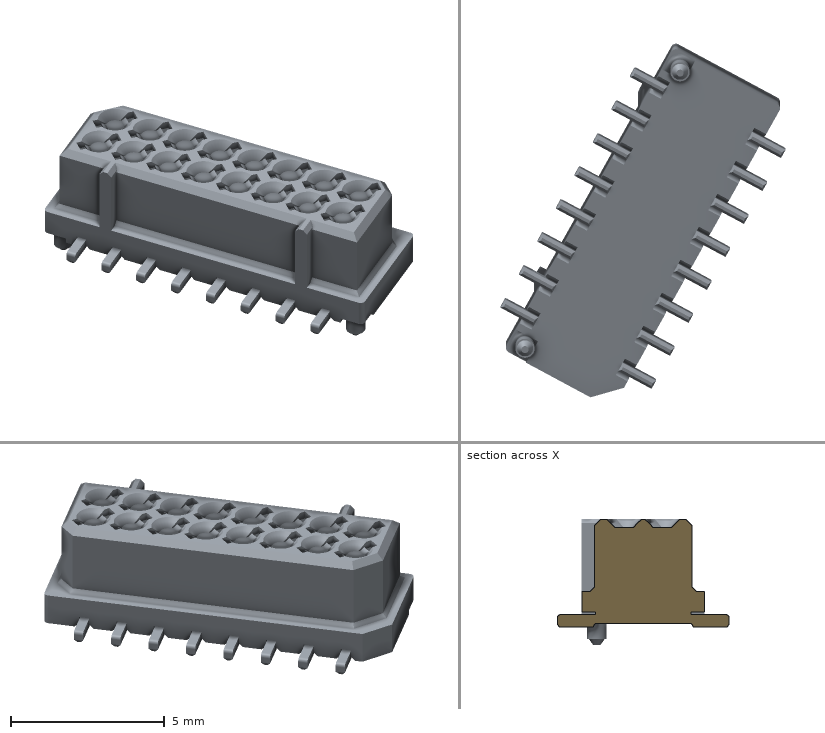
import cadquery as cq
import math

base_length = 11.45
base_width = 4.0
base_height = 1.05
key_chamfer = 0.8
base_corner_radius = 0.16

tower_margin = 0.4
tower_corner_cut = 0.48
tower_top = 3.4
tower_length = base_length - 2 * tower_margin
tower_width = base_width - 2 * tower_margin
top_chamfer = 0.21
tower_flare = 0.14

rib_width = 0.42
rib_spacing = 7.01
rib_chamfer = 0.14

contact_count = 8
contact_pitch = 1.25
contact_columns = [(i - (contact_count - 1) / 2) * contact_pitch for i in range(contact_count)]
contact_rows = [-contact_pitch / 2, contact_pitch / 2]

cavity_depth = 0.26
funnel_top_radius = 0.56
funnel_floor_radius = 0.3
slot_length = 1.42
slot_width = 0.39
slot_angle = 45
arm_width = 0.31
arm_inner_radius = 0.26
arm_outer_radius = 0.42
arm_height = 0.11
arm_bulge = 0.01

lead_span = 5.6
lead_width = 0.31
lead_height = 0.31
lead_tip_radius = 0.11
foot_depth = 0.11
foot_side_inset = 0.1
foot_end_inset = 0.07
foot_inner_end = base_width / 2 - 0.44
lead_embed = 0.11

relief_width = 0.34
relief_height = 0.38
relief_mouth_width = 0.62
relief_flare_height = (relief_mouth_width - relief_width) / 2

peg_x = 5.23
peg_y = -1.5
peg_diameter = 0.63
peg_radius = peg_diameter / 2
peg_bottom = -0.7
peg_tip_height = 0.21
peg_tip_base_radius = 0.26
peg_tip_radius = 0.11
recess_height = 0.17
peg_fillet = 0.14

overlap = 0.11


def keyed_outline(plane_z, offset):
    """Tower outline with two cut corners, grown evenly by offset (negative shrinks it)."""
    half_x = tower_length / 2 + offset
    half_y = tower_width / 2 + offset
    cut_growth = offset * (2 - math.sqrt(2))
    key_cut = key_chamfer + cut_growth
    corner_cut = tower_corner_cut + cut_growth
    points = [
        (-half_x, -half_y),
        (half_x, -half_y),
        (half_x, half_y - corner_cut),
        (half_x - corner_cut, half_y),
        (-half_x + key_cut, half_y),
        (-half_x, half_y - key_cut),
    ]
    return cq.Workplane("XY").workplane(offset=plane_z).polyline(points).close()


def keyed_taper(bottom_z, bottom_offset, top_z, top_offset):
    """Solid running between two offsets of the keyed outline."""
    bottom = keyed_outline(bottom_z, bottom_offset).wires().val()
    top = keyed_outline(top_z, top_offset).wires().val()
    return cq.Workplane(cq.Solid.makeLoft([bottom, top], True))


def make_base():
    block = cq.Workplane("XY").box(base_length, base_width, base_height, centered=(True, True, False))
    block = block.edges("|Z and (<X and >Y)").chamfer(key_chamfer)
    rounded = block.edges("(|Z and >X) or (|Z and <Y)")
    return rounded.fillet(base_corner_radius)


def make_tower():
    shoulder_z = tower_top - top_chamfer
    flare_top = base_height + tower_flare
    shaft = keyed_outline(base_height - overlap, 0).extrude(shoulder_z - base_height + overlap)
    flare = keyed_taper(base_height, tower_flare, flare_top, 0)
    cap = keyed_taper(shoulder_z, 0, tower_top, -top_chamfer)
    return shaft.union(flare).union(cap)


def make_rib(x):
    """Rib from the flush -Y base face back into the tower, under its top chamfer."""
    depth = tower_margin + top_chamfer
    height = tower_top - base_height + overlap
    rib = cq.Workplane("XY").box(rib_width, depth, height, centered=(True, False, False))
    rib = rib.edges("|Y and >Z").chamfer(rib_chamfer)
    return rib.translate((x, -base_width / 2, base_height - overlap))


def make_cavity():
    """Funnel and diagonal slot, opening at the tower top."""
    floor_z = tower_top - cavity_depth
    funnel = cq.Workplane(
        cq.Solid.makeCone(
            funnel_floor_radius, funnel_top_radius, cavity_depth, pnt=cq.Vector(0, 0, floor_z)
        )
    )
    slot = cq.Workplane("XY").box(slot_length, slot_width, cavity_depth, centered=(True, True, False))
    slot = slot.translate((0, 0, floor_z))
    return funnel.union(slot).rotate((0, 0, 0), (0, 0, 1), slot_angle)


def make_arms():
    """Pair of spring arms on the slot floor, rounded on the sides that face each other."""
    floor_z = tower_top - cavity_depth
    arm_middle = (arm_inner_radius + arm_outer_radius) / 2
    arm = (
        cq.Workplane("XZ")
        .moveTo(arm_inner_radius, floor_z - overlap)
        .lineTo(arm_inner_radius, floor_z)
        .threePointArc(
            (arm_middle, floor_z + arm_height / 2 + arm_bulge),
            (arm_outer_radius, floor_z + arm_height),
        )
        .lineTo(arm_outer_radius, floor_z - overlap)
        .close()
        .extrude(arm_width / 2, both=True)
    )
    pair = arm.union(arm.rotate((0, 0, 0), (0, 0, 1), 180))
    return pair.rotate((0, 0, 0), (0, 0, 1), slot_angle)


def make_lead_relief():
    """Cut on the +Y side: a straight slot with a mouth that flares down to the bottom face."""
    half_slot = relief_width / 2
    half_mouth = relief_mouth_width / 2
    points = [
        (-half_mouth, 0),
        (half_mouth, 0),
        (half_slot, relief_flare_height),
        (half_slot, relief_height),
        (-half_slot, relief_height),
        (-half_slot, relief_flare_height),
    ]
    profile = cq.Workplane("XZ", origin=(0, foot_inner_end, 0)).polyline(points).close()
    return profile.extrude(-(base_width / 2 - foot_inner_end + overlap))


def make_lead():
    """Lead on the +Y side, with a rounded top edge at its tip."""
    tip_y = lead_span / 2
    root_y = foot_inner_end - lead_embed
    foot_length = tip_y - foot_inner_end
    bar = cq.Workplane("XY").box(lead_width, tip_y - root_y, lead_height, centered=(True, False, False))
    bar = bar.translate((0, root_y, 0)).edges("|X and >Y and >Z").fillet(lead_tip_radius)
    foot = (
        cq.Workplane("XY", origin=(0, foot_inner_end + foot_length / 2, 0))
        .rect(lead_width, foot_length)
        .workplane(offset=-foot_depth)
        .rect(lead_width - 2 * foot_side_inset, foot_length - 2 * foot_end_inset)
        .loft(ruled=True)
    )
    return bar.union(foot)


def make_peg_recess(side):
    """Square recess whose inner walls touch the peg, open toward the corner of the base."""
    size_x = base_length / 2 - peg_x + peg_radius
    size_y = base_width / 2 + peg_y + peg_radius
    recess = cq.Workplane("XY").box(size_x, size_y, recess_height)
    center_x = side * (base_length - size_x) / 2
    center_y = (size_y - base_width) / 2
    return recess.translate((center_x, center_y, recess_height / 2))


def make_peg(side):
    """Round peg with a narrower conical tip and a concave fillet under the recess ceiling."""
    center = (side * peg_x, peg_y, 0)
    fillet_start = recess_height - peg_fillet
    fillet_chord = peg_fillet * (1 - math.sqrt(0.5))
    pin = (
        cq.Workplane("XZ")
        .moveTo(0, peg_bottom)
        .lineTo(peg_tip_radius, peg_bottom)
        .lineTo(peg_tip_base_radius, peg_bottom + peg_tip_height)
        .lineTo(peg_radius, peg_bottom + peg_tip_height)
        .lineTo(peg_radius, recess_height)
        .lineTo(0, recess_height)
        .close()
        .revolve(360, (0, 0), (0, 1))
    )
    collar = (
        cq.Workplane("XZ")
        .moveTo(0, fillet_start)
        .lineTo(peg_radius, fillet_start)
        .threePointArc(
            (peg_radius + fillet_chord, recess_height - fillet_chord),
            (peg_radius + peg_fillet, recess_height),
        )
        .lineTo(0, recess_height)
        .close()
        .revolve(360, (0, 0), (0, 1))
    )
    collar = collar.translate(center).intersect(make_peg_recess(side))
    return pin.translate(center).union(collar)


def at_contacts(shape):
    """Copies of the shape at every contact position, as one compound."""
    centers = [(x, y, 0) for x in contact_columns for y in contact_rows]
    return cq.Compound.makeCompound([shape.translate(center).val() for center in centers])


def at_leads(shape):
    """Copies of the shape at every lead position on the +Y and -Y sides, as one compound."""
    sides = (shape, shape.mirror("XZ"))
    copies = [half.translate((x, 0, 0)).val() for half in sides for x in contact_columns]
    return cq.Compound.makeCompound(copies)


result = make_base().union(make_tower())
for side in (-1, 1):
    result = result.union(make_rib(side * rib_spacing / 2))

result = result.cut(cq.Workplane(at_contacts(make_cavity())))
result = result.union(cq.Workplane(at_contacts(make_arms())))

result = result.cut(cq.Workplane(at_leads(make_lead_relief())))
result = result.union(cq.Workplane(at_leads(make_lead())))

for side in (-1, 1):
    result = result.cut(make_peg_recess(side)).union(make_peg(side))